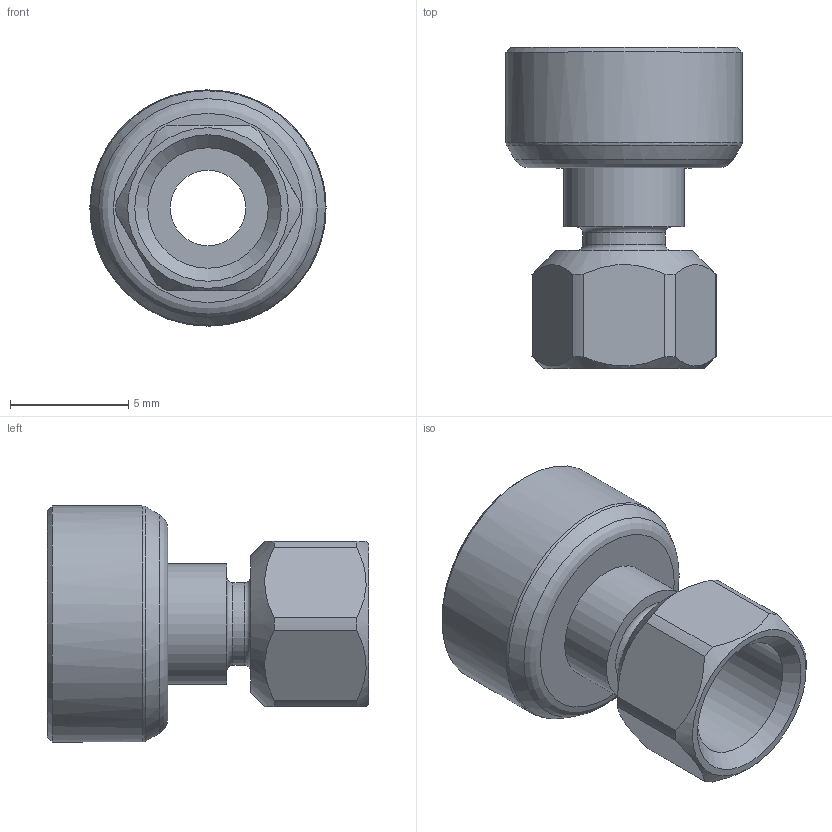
import cadquery as cq
import math

nut_length = 5.0
neck_length = 1.0
shank_length = 2.5
body_length = 5.1
total_length = nut_length + neck_length + shank_length + body_length

body_radius = 5.0
body_back_chamfer = 0.2
shoulder_length = 1.0
shoulder_angle = 30.0
shoulder_drop = shoulder_length * math.tan(math.radians(shoulder_angle))
shoulder_outer_fillet = 0.25
shoulder_inner_fillet = 0.72

shank_radius = 2.55
neck_radius = 1.75
neck_fillet = 0.25

nut_sides = 6
nut_across_flats = 7.0
nut_corner_radius = 3.9
nut_front_chamfer = 0.5
nut_rear_chamfer = 1.0

bore_radius = 1.6
socket_radius = 2.55
socket_depth = 4.2
mouth_chamfer = 0.55


def cylinder(radius, start, length):
    """Solid cylinder along +Y whose first face lies at y = start."""
    return cq.Workplane("XZ", origin=(0, start, 0)).circle(radius).extrude(-length)


def revolve_about_axis(outline):
    """Close a half outline drawn in the XY plane and revolve it fully about the Y axis."""
    return outline.close().revolve(360, (0, 0, 0), (0, 1, 0))


def make_body():
    """Round body at the back end, revolved so that its shoulder taper is explicit."""
    start = total_length - body_length
    outline = (
        cq.Workplane("XY")
        .moveTo(0, start)
        .lineTo(body_radius - shoulder_drop, start)
        .lineTo(body_radius, start + shoulder_length)
        .lineTo(body_radius, total_length - body_back_chamfer)
        .lineTo(body_radius - body_back_chamfer, total_length)
        .lineTo(0, total_length)
    )
    body = revolve_about_axis(outline)
    outer_rim = body.edges(cq.selectors.RadiusNthSelector(-1)).edges("<Y")
    body = outer_rim.fillet(shoulder_outer_fillet)
    return body.faces("<Y").edges().fillet(shoulder_inner_fillet)


def make_neck():
    """Thin neck between nut and shank, flaring into both with concave fillets."""
    start = nut_length
    end = start + neck_length
    flare_radius = neck_radius + neck_fillet
    outline = (
        cq.Workplane("XY")
        .moveTo(0, start)
        .lineTo(flare_radius, start)
        .radiusArc((neck_radius, start + neck_fillet), neck_fillet)
        .lineTo(neck_radius, end - neck_fillet)
        .radiusArc((flare_radius, end), neck_fillet)
        .lineTo(0, end)
    )
    return revolve_about_axis(outline)


def make_nut():
    """Hex nut with two flats facing +Z and -Z and two corners on the X axis."""
    across_corners = nut_across_flats / math.cos(math.pi / nut_sides)
    hexagon = cq.Workplane("XZ").polygon(nut_sides, across_corners).extrude(-nut_length)
    envelope = cylinder(nut_corner_radius, 0, nut_length)
    envelope = envelope.faces("<Y").edges().chamfer(nut_front_chamfer)
    envelope = envelope.faces(">Y").edges().chamfer(nut_rear_chamfer)
    return hexagon.intersect(envelope)


def make_passage():
    """Negative volume of the stepped passage along the axis."""
    mouth_radius = socket_radius + mouth_chamfer
    outline = (
        cq.Workplane("XY")
        .moveTo(0, 0)
        .lineTo(mouth_radius, 0)
        .lineTo(socket_radius, mouth_chamfer)
        .lineTo(socket_radius, socket_depth)
        .lineTo(bore_radius, socket_depth)
        .lineTo(bore_radius, total_length)
        .lineTo(0, total_length)
    )
    return revolve_about_axis(outline)


shank = cylinder(shank_radius, nut_length + neck_length, shank_length)
result = make_nut().union(make_neck()).union(shank).union(make_body()).cut(make_passage())